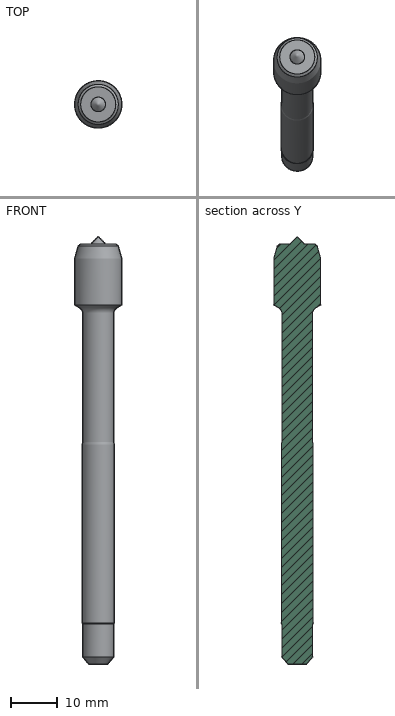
import cadquery as cq
import math

total_length = 91.65

thin_radius = 6.7 / 2
thick_radius = 7.0 / 2
tip_radius = 2.0
tip_chamfer_height = 1.6
thick_bottom = 8.6
thick_top = 47.6
lower_step_height = 0.3
upper_step_height = 0.55

head_radius = 10.2 / 2
neck_fillet_bottom = 75.3
neck_fillet_outer_radius = 4.0
neck_fillet_height = 1.0
neck_hollow = 0.14
head_bottom = 77.0
shoulder_bottom = 86.9
shoulder_top = 89.6
shoulder_top_radius = 4.3
top_face_radius = 3.8

point_height = 1.6
point_radius = point_height
top_face_z = total_length - point_height


def hollow_midpoint(start, end, hollow):
    """Middle of an arc lying left of the chord from start to end, hollow deep."""
    run = end[0] - start[0]
    rise = end[1] - start[1]
    chord = math.hypot(run, rise)
    mid_radius = (start[0] + end[0]) / 2 - hollow * rise / chord
    mid_z = (start[1] + end[1]) / 2 + hollow * run / chord
    return mid_radius, mid_z


neck_start = (thin_radius, neck_fillet_bottom)
neck_end = (neck_fillet_outer_radius, neck_fillet_bottom + neck_fillet_height)

outline = (
    cq.Workplane("XZ")
    .moveTo(0, 0)
    .lineTo(tip_radius, 0)
    .lineTo(thin_radius, tip_chamfer_height)
    .lineTo(thin_radius, thick_bottom)
    .lineTo(thick_radius, thick_bottom + lower_step_height)
    .lineTo(thick_radius, thick_top - upper_step_height)
    .lineTo(thin_radius, thick_top)
    .lineTo(*neck_start)
    .threePointArc(hollow_midpoint(neck_start, neck_end, neck_hollow), neck_end)
    .lineTo(head_radius, head_bottom)
    .lineTo(head_radius, shoulder_bottom)
    .lineTo(shoulder_top_radius, shoulder_top)
    .lineTo(top_face_radius, top_face_z)
    .lineTo(point_radius, top_face_z)
    .lineTo(0, total_length)
    .close()
)

result = outline.revolve(360, (0, 0, 0), (0, 1, 0))